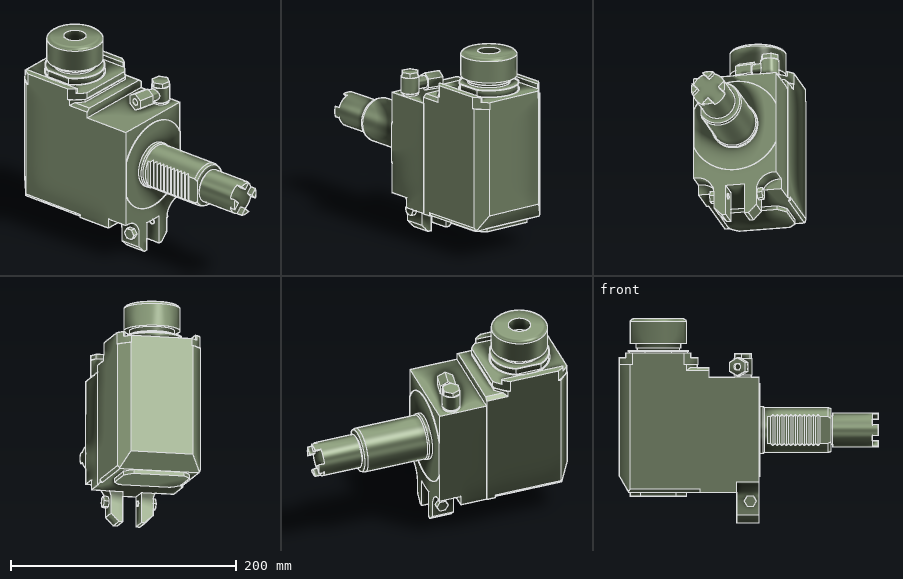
import cadquery as cq


width = 76.0
half_width = width / 2
rear_half_width = 37.5
left_x = -34.7
step_x = 45.0
right_x = 89.5
seat_right_x = 34.7
seat_z = 58.0
ledge_z = 55.5
rear_top_z = 47.0
bottom_z = -55.5
corner_chamfer = 9.7
nose_chamfer_x = 8.5
nose_chamfer_z = 14.7
ledge_chamfer_y = 3.2
ledge_chamfer_z = 2.8
bottom_chamfer_y = 1.8
bottom_chamfer_z = 3.0
bottom_chamfer_end_x = 36.8
face_disc_radius = 41.4
face_disc_height = 0.57

plate_right_x = 35.5
plate_corner_radius = 44.4
plate_top_z = 64.1
rail_top_z = 68.5
rail_inner_y = 32.2
rail_half_length = 29.0

collar_radius = 26.0
collar_half_flats = 23.2
collar_lip_overhang = 0.7
collar_lip_z = 69.6
collar_top_z = 70.3
collar_gap_radius = 27.1
collar_gap_depth = 0.7
groove_radius = 18.8
neck_radius = 20.0
neck_bottom_z = 72.6
nut_radius = 25.0
nut_bottom_z = 76.5
nut_top_z = 99.0
nut_top_radius = 21.0
nut_edge_height = 2.8
nut_edge_arc_radius = 4.5
bore_radius = 9.9
bore_depth = 12.5

pad_half_length = 25.0
pad_half_width = 30.0
pad_corner_radius = 34.0
pad_height = 3.5

prong_left_x = 69.5
prong_bottom_z = -82.5
prong_inner_y = 8.5
prong_outer_y = 19.3
prong_chamfer = 7.1
prong_relief_z = -46.2
prong_fillet = 16.0
screw_x = 81.5
screw_z = -63.0
screw_corner_diameter = 10.8
screw_head_height = 4.5
screw_tip_radius = 2.5
screw_tip_height = 0.8

shank_collar_radius = 21.0
shank_collar_end_x = 92.9
shank_collar_chamfer = 1.4
shank_radius = 20.0
shank_end_x = 153.3
shank_chamfer_length = 2.8
shank_chamfer_radial = 1.0
rack_flat_y = 16.0
rack_start_x = 97.0
tooth_depth = 1.5
groove_count = 11
first_groove_x = 101.5
last_groove_x = 141.5
tooth_pitch = (last_groove_x - first_groove_x) / (groove_count - 1)

drive_neck_radius = 12.6
drive_start_x = 154.7
drive_radius = 15.2
drive_end_x = 195.1
claw_depth = 5.3
claw_slot_width = 13.3

fitting_x = 75.2
fitting_y = 28.3
fitting_angle = 10.0
fitting_foot_radius = 7.4
fitting_foot_height = 1.8
fitting_body_radius = 8.0
fitting_body_top_z = 63.5
fitting_top_z = 67.8
fitting_hex_diameter = 16.0
arm_z = 56.0
arm_radius = 5.5
arm_nut_start = 15.0
arm_nut_end = 29.9
arm_hole_radius = 3.0
arm_hole_depth = 7.0


def block(x0, x1, y0, y1, z0, z1):
    return cq.Workplane("XY").box(x1 - x0, y1 - y0, z1 - z0, centered=False).translate((x0, y0, z0))


def upright_cylinder(radius, z0, z1):
    return cq.Workplane("XY").workplane(offset=z0).circle(radius).extrude(z1 - z0)


def axial_cylinder(radius, x0, x1):
    return cq.Workplane("YZ").workplane(offset=x0).circle(radius).extrude(x1 - x0)


def both_sides(solid):
    """Join a solid with its mirror image across the XZ plane."""
    return solid.union(solid.mirror("XZ"))


def side_wedge(x0, x1, edge_z, width, height):
    """Triangular cutters along both long edges; a negative height points down."""
    wedge = (
        cq.Workplane("YZ")
        .workplane(offset=x0)
        .moveTo(half_width, edge_z)
        .lineTo(half_width - width, edge_z)
        .lineTo(half_width, edge_z + height)
        .close()
        .extrude(x1 - x0)
    )
    return both_sides(wedge)


def corner_cutters(end_x, direction):
    """Cutters for the two vertical corner chamfers at end_x; direction points into the housing."""
    corner = (
        cq.Workplane("XY")
        .workplane(offset=bottom_z)
        .moveTo(end_x, half_width)
        .lineTo(end_x + direction * corner_chamfer, half_width)
        .lineTo(end_x, half_width - corner_chamfer)
        .close()
        .extrude(seat_z - bottom_z)
    )
    return both_sides(corner)


def make_housing():
    profile = [
        (left_x, ledge_z),
        (step_x, ledge_z),
        (step_x, rear_top_z),
        (right_x, rear_top_z),
        (right_x, bottom_z),
        (left_x + nose_chamfer_x, bottom_z),
        (left_x, bottom_z + nose_chamfer_z),
    ]
    housing = cq.Workplane("XZ").polyline(profile).close().extrude(half_width, both=True)
    housing = housing.cut(side_wedge(left_x, step_x, ledge_z, ledge_chamfer_y, -ledge_chamfer_z))
    seat = block(
        left_x, seat_right_x, -half_width, half_width, ledge_z - ledge_chamfer_z, seat_z
    )
    seat = seat.cut(corner_cutters(seat_right_x, -1))
    housing = housing.union(seat).cut(corner_cutters(left_x, 1))
    housing = housing.cut(
        side_wedge(left_x, bottom_chamfer_end_x, bottom_z, bottom_chamfer_y, bottom_chamfer_z)
    )
    housing = housing.cut(block(step_x, right_x, rear_half_width, half_width, bottom_z, rear_top_z))
    disc = axial_cylinder(face_disc_radius, right_x, right_x + face_disc_height)
    disc = disc.intersect(
        block(right_x, drive_end_x, -rear_half_width, rear_half_width, bottom_z, rear_top_z)
    )
    return housing.union(disc)


def make_plate():
    plate = block(left_x, plate_right_x, -half_width, half_width, seat_z, plate_top_z)
    rail = block(
        -rail_half_length, rail_half_length, rail_inner_y, half_width, plate_top_z, rail_top_z
    )
    plate = plate.union(both_sides(rail))
    plate = plate.intersect(upright_cylinder(plate_corner_radius, seat_z, rail_top_z))
    return plate.cut(upright_cylinder(collar_gap_radius, plate_top_z - collar_gap_depth, plate_top_z))


def flatted_disc(radius, half_flats, z0, z1):
    """Disc with a flat on its -Y and +Y sides."""
    return upright_cylinder(radius, z0, z1).intersect(
        block(-radius, radius, -half_flats, half_flats, z0, z1)
    )


def make_spindle():
    collar = flatted_disc(collar_radius, collar_half_flats, seat_z, collar_lip_z)
    lip = flatted_disc(
        collar_radius + collar_lip_overhang,
        collar_half_flats + collar_lip_overhang,
        collar_lip_z,
        collar_top_z,
    )
    nose = (
        cq.Workplane("XZ")
        .moveTo(0, seat_z)
        .lineTo(groove_radius, seat_z)
        .lineTo(groove_radius, neck_bottom_z)
        .lineTo(neck_radius, neck_bottom_z)
        .lineTo(neck_radius, nut_bottom_z)
        .lineTo(nut_radius, nut_bottom_z)
        .lineTo(nut_radius, nut_top_z - nut_edge_height)
        .radiusArc((nut_top_radius, nut_top_z), -nut_edge_arc_radius)
        .lineTo(0, nut_top_z)
        .close()
        .revolve(360, (0, 0), (0, 1))
    )
    bore = upright_cylinder(bore_radius, nut_top_z - bore_depth, nut_top_z)
    return collar.union(lip).union(nose).cut(bore)


def make_pad():
    pad = block(
        -pad_half_length,
        pad_half_length,
        -pad_half_width,
        pad_half_width,
        bottom_z - pad_height,
        bottom_z,
    )
    return pad.intersect(upright_cylinder(pad_corner_radius, bottom_z - pad_height, bottom_z))


def clear_prong_sides(housing):
    """Cut the underside of the housing away beside the prongs."""
    relief = block(
        prong_left_x,
        right_x + face_disc_height,
        prong_outer_y + prong_fillet,
        half_width,
        bottom_z,
        prong_relief_z,
    )
    curve = (
        cq.Workplane("YZ")
        .workplane(offset=prong_left_x)
        .center(prong_outer_y + prong_fillet, prong_relief_z - prong_fillet)
        .circle(prong_fillet)
        .extrude(right_x + face_disc_height - prong_left_x)
    )
    return housing.cut(both_sides(relief.union(curve)))


def make_prongs():
    prong = (
        cq.Workplane("YZ")
        .workplane(offset=prong_left_x)
        .moveTo(prong_inner_y, bottom_z)
        .lineTo(prong_inner_y, prong_bottom_z)
        .lineTo(prong_outer_y - prong_chamfer, prong_bottom_z)
        .lineTo(prong_outer_y, prong_bottom_z + prong_chamfer)
        .lineTo(prong_outer_y, prong_relief_z - prong_fillet)
        .radiusArc((prong_outer_y + prong_fillet, prong_relief_z), prong_fillet)
        .lineTo(prong_inner_y, prong_relief_z)
        .close()
        .extrude(right_x - prong_left_x)
    )
    head = (
        cq.Workplane("XZ", origin=(screw_x, prong_outer_y, screw_z))
        .polygon(6, screw_corner_diameter)
        .extrude(-screw_head_height)
    )
    tip = (
        cq.Workplane("XZ", origin=(screw_x, prong_inner_y, screw_z))
        .circle(screw_tip_radius)
        .extrude(screw_tip_height)
    )
    return both_sides(prong.union(head).union(tip))


def make_shank():
    profile = [
        (right_x, 0),
        (right_x, shank_collar_radius),
        (shank_collar_end_x, shank_collar_radius),
        (shank_collar_end_x + shank_collar_chamfer, shank_radius),
        (shank_end_x - shank_chamfer_length, shank_radius),
        (shank_end_x, shank_radius - shank_chamfer_radial),
        (shank_end_x, drive_neck_radius),
        (drive_start_x, drive_neck_radius),
        (drive_start_x, drive_radius),
        (drive_end_x, drive_radius),
        (drive_end_x, 0),
    ]
    shank = cq.Workplane("XY").polyline(profile).close().revolve(360, (0, 0), (1, 0))
    shank = shank.cut(
        block(
            rack_start_x, shank_end_x, -shank_radius, -rack_flat_y, -shank_radius, shank_radius
        )
    )
    for index in range(groove_count):
        x = first_groove_x + index * tooth_pitch
        groove = (
            cq.Workplane("XY")
            .moveTo(x - tooth_pitch / 2, -rack_flat_y)
            .lineTo(x, -rack_flat_y + tooth_depth)
            .lineTo(x + tooth_pitch / 2, -rack_flat_y)
            .close()
            .extrude(shank_radius, both=True)
        )
        shank = shank.cut(groove)
    for angle in (45, 135):
        slot = (
            cq.Workplane("YZ")
            .workplane(offset=drive_end_x - claw_depth)
            .transformed(rotate=(0, 0, angle))
            .rect(4 * drive_radius, claw_slot_width)
            .extrude(claw_depth)
        )
        shank = shank.cut(slot)
    return shank


def make_fitting():
    """Banjo fitting built upright on the origin with its arm toward -Y, then turned and placed."""
    foot_top_z = rear_top_z + fitting_foot_height
    fitting = upright_cylinder(fitting_foot_radius, rear_top_z, foot_top_z)
    fitting = fitting.union(upright_cylinder(fitting_body_radius, foot_top_z, fitting_body_top_z))
    head = (
        cq.Workplane("XY")
        .workplane(offset=fitting_body_top_z)
        .transformed(rotate=(0, 0, 90))
        .polygon(6, fitting_hex_diameter)
        .extrude(fitting_top_z - fitting_body_top_z)
    )
    arm = cq.Workplane("XZ", origin=(0, 0, arm_z)).circle(arm_radius).extrude(arm_nut_start)
    arm_nut = (
        cq.Workplane("XZ", origin=(0, -arm_nut_start, arm_z))
        .transformed(rotate=(0, 0, 90))
        .polygon(6, fitting_hex_diameter)
        .extrude(arm_nut_end - arm_nut_start)
    )
    hole = (
        cq.Workplane("XZ", origin=(0, -arm_nut_end, arm_z))
        .circle(arm_hole_radius)
        .extrude(-arm_hole_depth)
    )
    fitting = fitting.union(head).union(arm).union(arm_nut).cut(hole)
    fitting = fitting.rotate((0, 0, 0), (0, 0, 1), -fitting_angle)
    return fitting.translate((fitting_x, fitting_y, 0))


result = (
    clear_prong_sides(make_housing())
    .union(make_plate())
    .union(make_spindle())
    .union(make_pad())
    .union(make_prongs())
    .union(make_shank())
    .union(make_fitting())
)